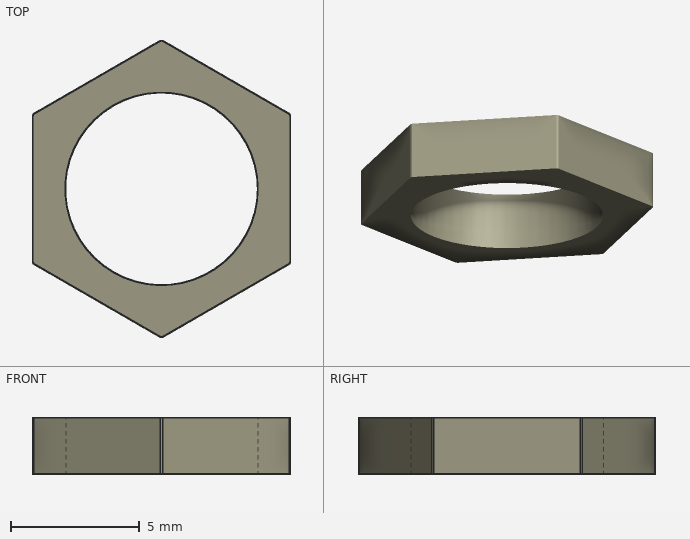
import cadquery as cq
import math

across_flats = 10.0
across_corners = 11.5
thickness = 2.2
bore_diameter = 7.46

SIDES = 6
CORNER_ON_Y = 90
sharp_across_corners = across_flats / math.cos(math.pi / SIDES)


def disc(diameter):
    """Cylinder of the nut's thickness standing on Z = 0."""
    return cq.Workplane("XY").circle(diameter / 2).extrude(thickness)


def hex_body():
    """Hexagonal prism on Z = 0 whose sharp corners are turned to a cylinder."""
    prism = cq.Workplane("XY").polygon(SIDES, sharp_across_corners).extrude(thickness)
    turned = prism.intersect(disc(across_corners))
    return turned.rotate((0, 0, 0), (0, 0, 1), CORNER_ON_Y)


result = hex_body().cut(disc(bore_diameter))